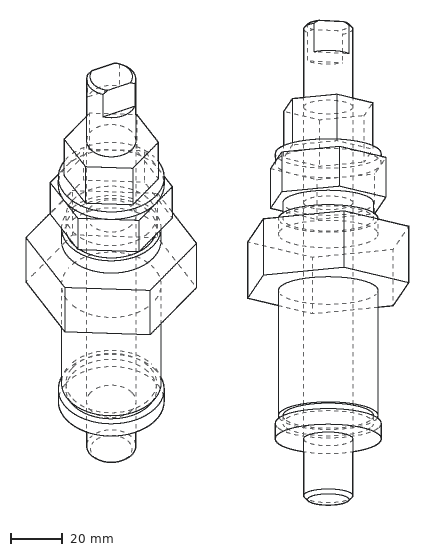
import cadquery as cq
import math

overall_length = 190.5
flats_bottom = 177.7
gland_top = 157.7
flange_top = 139.0
flange_bottom = 135.3
gland_bottom = 119.3
shoulder_top = 113.0
large_hex_top = 106.7
large_hex_bottom = 84.0
barrel_bottom = 33.7
collar_top = 30.7
housing_bottom = 24.4

shaft_diameter = 19.0
barrel_diameter = 38.5
neck_diameter = 35.0
collar_diameter = 41.0

large_hex_flats = 57.2
gland_hex_flats = 41.0
small_hex_flats = 31.6

drive_width = 13.1
bottom_chamfer = 1.5
top_chamfer = 1.3


def cylinder(diameter, bottom, top):
    """Cylinder on the Z axis between two heights."""
    return cq.Workplane("XY").workplane(offset=bottom).circle(diameter / 2).extrude(top - bottom)


def hex_prism(across_flats, bottom, top):
    """Hexagonal prism on the Z axis with two corners on the X axis."""
    across_corners = across_flats / math.cos(math.pi / 6)
    return cq.Workplane("XY").workplane(offset=bottom).polygon(6, across_corners).extrude(top - bottom)


def shaft_bore(bottom, top):
    """Material removed where the shaft passes through a body."""
    return cylinder(shaft_diameter, bottom, top)


def make_shaft():
    """Long round shaft, chamfered at both ends, with two drive flats at the top."""
    body = cylinder(shaft_diameter, 0, overall_length)
    body = body.faces("<Z").chamfer(bottom_chamfer)
    body = body.faces(">Z").chamfer(top_chamfer)
    drive_length = overall_length - flats_bottom
    tip = cylinder(shaft_diameter, flats_bottom, overall_length)
    drive = (
        cq.Workplane("XY")
        .workplane(offset=flats_bottom)
        .rect(drive_width, shaft_diameter)
        .extrude(drive_length)
    )
    return body.cut(tip.cut(drive))


def make_housing():
    """Stepped barrel with a bottom collar, a groove, a large hexagon and a top neck."""
    body = cylinder(neck_diameter, housing_bottom, gland_bottom)
    body = body.union(cylinder(collar_diameter, housing_bottom, collar_top))
    body = body.union(cylinder(barrel_diameter, barrel_bottom, shoulder_top))
    body = body.union(hex_prism(large_hex_flats, large_hex_bottom, large_hex_top))
    return body.cut(shaft_bore(housing_bottom, gland_bottom))


def make_gland_nut():
    """Nut seated on the housing neck: wide hexagon, round flange and small hexagon."""
    body = hex_prism(gland_hex_flats, gland_bottom, flange_bottom)
    body = body.union(cylinder(collar_diameter, flange_bottom, flange_top))
    body = body.union(hex_prism(small_hex_flats, flange_top, gland_top))
    return body.cut(shaft_bore(gland_bottom, gland_top))


shaft = make_shaft()
housing = make_housing()
gland_nut = make_gland_nut()

result = cq.Compound.makeCompound([shaft.val(), housing.val(), gland_nut.val()])